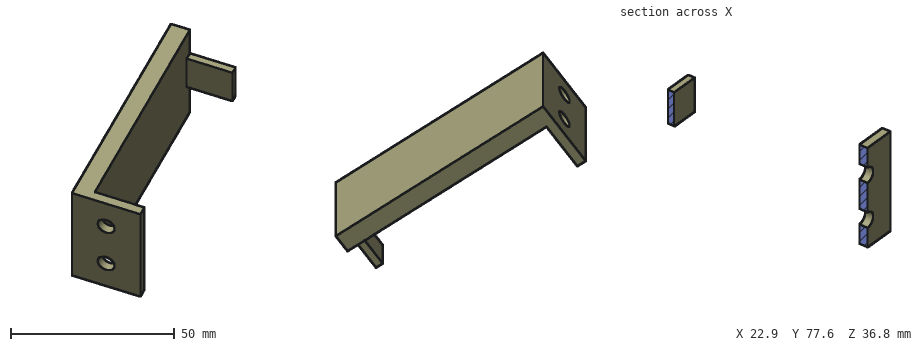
import cadquery as cq

width = 22.86
length = 77.6
height = 36.83

plate_thickness = 6.35

flange_thickness = 3.175

tab_thickness = 2.54
tab_reach = 21.59
tab_height = 12.7
tab_top = 26.35

hole_diameter = 5.588
hole_spacing = 16.6


def corner_box(size_x, size_y, size_z):
    """Box with its lowest corner at the origin."""
    return cq.Workplane("XY").box(size_x, size_y, size_z, centered=False)


def make_plate():
    return corner_box(plate_thickness, length, height)


def make_flange():
    """End flange with its two mounting holes."""
    flange = corner_box(width, flange_thickness, height)
    return (
        flange.faces("<Y")
        .workplane(centerOption="CenterOfBoundBox")
        .pushPoints([(0, -hole_spacing / 2), (0, hole_spacing / 2)])
        .hole(hole_diameter)
    )


def make_tab():
    tab = corner_box(tab_reach, tab_thickness, tab_height)
    return tab.translate((0, length - tab_thickness, tab_top - tab_height))


result = make_plate().union(make_flange()).union(make_tab())